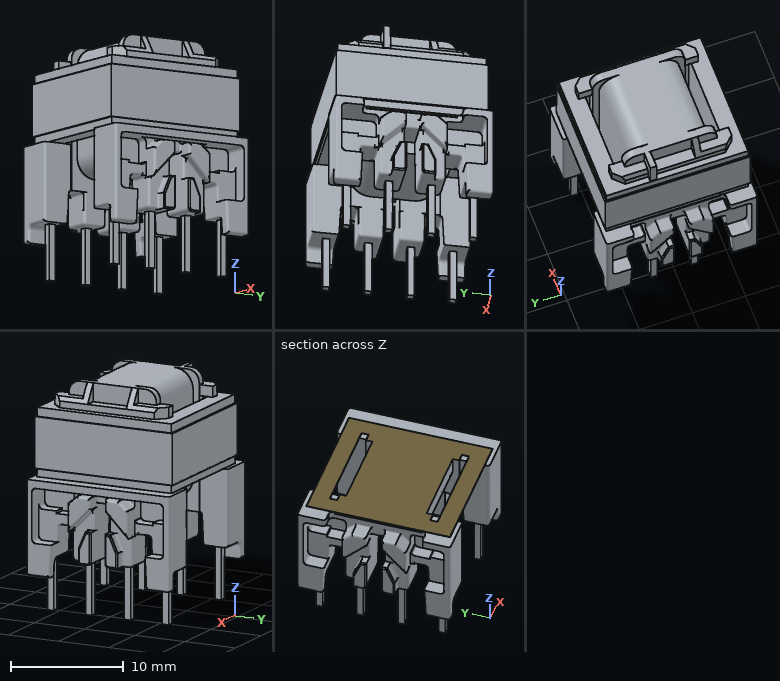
import cadquery as cq


BASE_X = 14.91 / 2
BASE_Y = 14.25 / 2
BASE_TOP = 8.76
CORNER_INNER_X = 3.88
STEP_X = 6.45
STEP_Z = 1.58
LEG_TOP_Y = 4.49
LEG_ARCH_Y = 4.56
LEG_FOOT_Y = 4.79
EDGE_RADIUS = 0.25
STEP_RADIUS = 0.4
WEB_X = 6.1
WEB_BOTTOM = 4.6
WEB_TOP_CHAMFER = 0.22
ARCH_RADIUS = 0.3
ARCH_EDGE_RADIUS = 0.2
CORNER_RADIUS = 0.42
GAP_TOP = 7.0
SHELF_BOTTOM = 8.03

POCKET_Y = 6.54
POCKET_BOTTOM = 3.0
POCKET_RADIUS = 0.42
DEEP_POCKET_X = 4.9
DEEP_POCKET_BOTTOM = 5.83
WEB_POCKET_BOTTOM = 5.6
WEB_POCKET_Y = 4.8

BLOCK_INNER_Y = 0.7
BLOCK_OUTER_Y = 2.99
BLOCK_X = 6.53
BLOCK_TOP = 7.78
BLOCK_SHOULDER_Y = 2.05
BLOCK_SHOULDER_Z = 7.0
CHANNEL_INNER_Z = 6.7
RIDGE_TOP = 4.6
RIDGE_TOP_Y = 1.25
RIDGE_KNEE_Y = 1.95
RIDGE_KNEE_Z = 3.0
BLOCK_CORNER_RADIUS = 0.35
BLOCK_FOOT_RADIUS = 0.17
BLOCK_FOOT_MARGIN = 0.35
CHANNEL_RADIUS = 0.2

PIN_SIZE = 0.64
PIN_X = 5.1
PIN_YS = (-5.71, -1.92, 1.92, 5.71)
TOTAL_HEIGHT = 21.01
PIN_TIP = -3.5
PIN_EMBED = 4.0

CORE_X = 6.155
CORE_Y = 6.69
CORE_TOP = 15.1
CORE_WINDOW_X = 4.53
CORE_WINDOW_Y = 4.99
TAPE_THICKNESS = 0.16
TAPE_BOTTOM = 9.52
TAPE_TOP = 14.27

TOP_Z = PIN_TIP + TOTAL_HEIGHT
FLANGE_INNER_X = 3.74
FLANGE_OUTER_X = 4.53
FLANGE_Y = 4.35
FLANGE_RADIUS = 1.07
WINDING_Y = 3.76
WINDING_BOTTOM = 5.8
WINDING_RADIUS = 1.83
COLLAR_X = 5.64
COLLAR_Y = 5.65
COLLAR_CORNER = 0.94
COLLAR_BOTTOM = 15.17
COLLAR_TOP = 16.18
COLLAR_EDGE_TOP = 15.78
RIB_INNER_Y = 1.92
RIB_OUTER_Y = 2.53
TAB_X = 6.12
TAB_RADIUS = 0.15

MARGIN = 0.01


def box(x0, x1, y0, y1, z0, z1):
    return cq.Workplane("XY").box(x1 - x0, y1 - y0, z1 - z0, centered=False).translate((x0, y0, z0))


def yz_prism(points, x0, x1):
    return cq.Workplane("YZ").polyline(points).close().extrude(x1 - x0).translate((x0, 0, 0))


def near_plane(x, y0, y1, z0, z1):
    """Selects edges in the plane at -x whose centres lie within the given Y and Z ranges."""
    return cq.selectors.BoxSelector(
        (-x - MARGIN, y0 - MARGIN, z0 - MARGIN),
        (-x + MARGIN, y1 + MARGIN, z1 + MARGIN),
    )


def mirror_y(solid):
    return solid.union(solid.mirror("XZ"))


def corner_leg():
    """Corner leg at -X, +Y, with its foot, step and wire pocket."""
    outline = [
        (BASE_Y, 0),
        (BASE_Y, BASE_TOP),
        (LEG_TOP_Y, BASE_TOP),
        (LEG_ARCH_Y, WEB_BOTTOM),
        (LEG_FOOT_Y, 0),
    ]
    leg = yz_prism(outline, -BASE_X, -CORNER_INNER_X)
    step = box(-STEP_X, 0, 0, BASE_Y, 0, STEP_Z).edges("<X and >Z").fillet(STEP_RADIUS)
    leg = leg.cut(step)
    leg = leg.faces("<X or >Y").edges("not >Z").fillet(EDGE_RADIUS)
    step_edges = cq.selectors.BoxSelector(
        (-STEP_X - MARGIN, LEG_ARCH_Y, EDGE_RADIUS),
        (-CORNER_INNER_X - EDGE_RADIUS, LEG_FOOT_Y, STEP_Z + MARGIN),
    )
    leg = leg.edges(step_edges).fillet(ARCH_EDGE_RADIUS)
    pocket = box(-BASE_X, -WEB_X, 0, POCKET_Y, POCKET_BOTTOM, SHELF_BOTTOM)
    leg = leg.cut(pocket.edges("|X and >Y").fillet(POCKET_RADIUS))
    open_edge = near_plane(WEB_X, LEG_TOP_Y, LEG_FOOT_Y, POCKET_BOTTOM, SHELF_BOTTOM)
    return leg.edges(open_edge).fillet(ARCH_EDGE_RADIUS)


def arch():
    """Tapered opening between a corner leg and its pin block."""
    outline = [
        (BLOCK_OUTER_Y, 0),
        (BLOCK_OUTER_Y, WEB_BOTTOM),
        (LEG_ARCH_Y, WEB_BOTTOM),
        (LEG_FOOT_Y, 0),
    ]
    return yz_prism(outline, -BASE_X, -FLANGE_INNER_X).edges("|X and >Z").fillet(ARCH_RADIUS)


def web():
    """Wall that joins the legs, arched over the pins."""
    wall = box(-WEB_X, -CORNER_INNER_X, -WEB_POCKET_Y, WEB_POCKET_Y, POCKET_BOTTOM, BASE_TOP)
    wall = wall.edges("<X and >Z").chamfer(WEB_TOP_CHAMFER).cut(mirror_y(arch()))
    for side in (-1, 1):
        around_arch = cq.selectors.BoxSelector(
            (-WEB_X - EDGE_RADIUS, side * (BLOCK_OUTER_Y - EDGE_RADIUS), POCKET_BOTTOM + EDGE_RADIUS),
            (-WEB_X + EDGE_RADIUS, side * (WEB_POCKET_Y - EDGE_RADIUS / 2), WEB_BOTTOM + EDGE_RADIUS),
        )
        wall = wall.faces("<X").edges(around_arch).fillet(ARCH_EDGE_RADIUS)
    return wall


def inside_corner():
    """Concave rounding between the top of the leg and the web."""
    x0 = -WEB_X - CORNER_RADIUS
    y0 = LEG_TOP_Y - CORNER_RADIUS
    corner = box(x0, -CORNER_INNER_X, y0, LEG_ARCH_Y, SHELF_BOTTOM, BASE_TOP)
    round_tool = cq.Workplane("XY").circle(CORNER_RADIUS).extrude(BASE_TOP).translate((x0, y0, 0))
    return corner.cut(round_tool)


def deep_pocket():
    """Rounded pocket that runs from the leg into the web."""
    over_leg = box(-WEB_X, -DEEP_POCKET_X, BLOCK_OUTER_Y, POCKET_Y, DEEP_POCKET_BOTTOM, SHELF_BOTTOM)
    over_web = box(-WEB_X, -DEEP_POCKET_X, BLOCK_OUTER_Y, WEB_POCKET_Y, WEB_POCKET_BOTTOM, SHELF_BOTTOM)
    over_leg = over_leg.edges("|X and >Y").fillet(POCKET_RADIUS)
    over_leg = over_leg.edges("|X and <Y and >Z").fillet(POCKET_RADIUS)
    over_web = over_web.edges("|X and <Y").fillet(POCKET_RADIUS)
    return over_leg.union(over_web)


def pin_block():
    """Pin block at +Y: a body, a bevelled head above the wire channel and a ridge below it."""
    body = box(-BLOCK_X, -FLANGE_INNER_X, BLOCK_INNER_Y, BLOCK_OUTER_Y, STEP_Z, WEB_BOTTOM)
    body = body.edges("|X and <Z").fillet(BLOCK_CORNER_RADIUS)
    body = body.faces("<X or >X").edges("not >Z").fillet(EDGE_RADIUS)
    channel_outer_z = CHANNEL_INNER_Z - (BLOCK_OUTER_Y - BLOCK_INNER_Y)
    head_outline = [
        (BLOCK_INNER_Y, CHANNEL_INNER_Z),
        (BLOCK_INNER_Y, BLOCK_TOP),
        (BLOCK_SHOULDER_Y, BLOCK_TOP),
        (BLOCK_OUTER_Y, BLOCK_SHOULDER_Z),
        (BLOCK_OUTER_Y, channel_outer_z),
    ]
    head = yz_prism(head_outline, -BASE_X, -CORNER_INNER_X).faces("<X").edges().fillet(EDGE_RADIUS)
    channel_inner_y = BLOCK_INNER_Y + EDGE_RADIUS
    channel_outer_y = BLOCK_OUTER_Y - EDGE_RADIUS
    channel_floor = box(
        -BLOCK_X,
        -CORNER_INNER_X,
        channel_inner_y,
        channel_outer_y,
        RIDGE_TOP - EDGE_RADIUS,
        CHANNEL_INNER_Z,
    )
    head = head.union(channel_floor)
    channel_edge = near_plane(BLOCK_X, RIDGE_TOP_Y, RIDGE_KNEE_Y, RIDGE_TOP, BLOCK_SHOULDER_Z)
    head = head.edges(channel_edge).fillet(CHANNEL_RADIUS)
    back_outline = [
        (BLOCK_INNER_Y, WEB_BOTTOM),
        (BLOCK_INNER_Y, BLOCK_TOP),
        (BLOCK_SHOULDER_Y, BLOCK_TOP),
        (BLOCK_OUTER_Y, BLOCK_SHOULDER_Z),
        (BLOCK_OUTER_Y, WEB_BOTTOM),
    ]
    backing = box(
        -WEB_X,
        -CORNER_INNER_X,
        BLOCK_INNER_Y - BLOCK_FOOT_MARGIN,
        BLOCK_OUTER_Y + BLOCK_FOOT_MARGIN,
        WEB_BOTTOM,
        BLOCK_TOP + BLOCK_FOOT_MARGIN,
    )
    back = yz_prism(back_outline, -BLOCK_X, -CORNER_INNER_X).union(backing)
    flared_edges = near_plane(WEB_X, BLOCK_INNER_Y, channel_outer_y, WEB_POCKET_BOTTOM, BLOCK_TOP)
    back = back.edges(flared_edges).fillet(BLOCK_FOOT_RADIUS)
    back = back.faces("<X").edges("|Z").fillet(EDGE_RADIUS)
    ridge_outline = [
        (BLOCK_INNER_Y, STEP_Z),
        (BLOCK_INNER_Y, RIDGE_TOP),
        (RIDGE_TOP_Y, RIDGE_TOP),
        (RIDGE_KNEE_Y, RIDGE_KNEE_Z),
        (RIDGE_KNEE_Y, STEP_Z),
    ]
    ridge = yz_prism(ridge_outline, -BASE_X, -WEB_X)
    ridge = ridge.edges("|X and <Z and <Y").fillet(BLOCK_CORNER_RADIUS)
    ridge = ridge.faces("<X").edges().chamfer(EDGE_RADIUS / 2)
    block = body.union(back).union(head).union(ridge)
    ridge_edges = near_plane(BLOCK_X, RIDGE_TOP_Y, RIDGE_KNEE_Y, STEP_Z, RIDGE_TOP - EDGE_RADIUS)
    block = block.edges(ridge_edges).fillet(CHANNEL_RADIUS)
    return block.cut(arch())


def flange():
    """Bobbin end plate, from the web up to the rounded top."""
    plate = box(-FLANGE_OUTER_X, -FLANGE_INNER_X, -FLANGE_Y, FLANGE_Y, WEB_BOTTOM, TOP_Z)
    return plate.edges("|X and >Z").fillet(FLANGE_RADIUS)


def collar():
    """Collar over the core with a sloped outer edge and two sloped ribs up to the flange."""
    plate = box(-COLLAR_X, -CORNER_INNER_X, -COLLAR_Y, COLLAR_Y, COLLAR_BOTTOM, COLLAR_TOP)
    plate = plate.edges("|Z and <X").chamfer(COLLAR_CORNER)
    plate = plate.cut(box(-COLLAR_X, -FLANGE_OUTER_X, -RIB_OUTER_Y, RIB_OUTER_Y, COLLAR_EDGE_TOP, TOP_Z))
    rib = box(-COLLAR_X, -FLANGE_OUTER_X, RIB_INNER_Y, RIB_OUTER_Y, COLLAR_BOTTOM, TOP_Z)
    solid = plate.union(mirror_y(rib))
    above_slope = (
        cq.Workplane("XZ")
        .moveTo(-COLLAR_X, COLLAR_EDGE_TOP)
        .lineTo(-FLANGE_OUTER_X, TOP_Z)
        .lineTo(-COLLAR_X, TOP_Z)
        .close()
        .extrude(COLLAR_Y, both=True)
    )
    return solid.cut(above_slope)


def carrier():
    """One complete bobbin end at -X."""
    wall = web().union(mirror_y(pin_block()))
    solid = wall.union(mirror_y(corner_leg().union(inside_corner()))).cut(mirror_y(deep_pocket()))
    solid = solid.union(flange().cut(mirror_y(arch())))
    gap = box(-BLOCK_X, -FLANGE_INNER_X, -BLOCK_INNER_Y, BLOCK_INNER_Y, 0, GAP_TOP)
    solid = solid.cut(gap)
    gap_edge = near_plane(WEB_X, -BLOCK_INNER_Y, BLOCK_INNER_Y, GAP_TOP, GAP_TOP)
    solid = solid.edges(gap_edge).fillet(ARCH_EDGE_RADIUS)
    return solid.union(collar())


def shelf():
    """Shelf that closes the top between the legs on the +X side only."""
    return box(WEB_X, BASE_X, -WEB_POCKET_Y, WEB_POCKET_Y, SHELF_BOTTOM, BASE_TOP)


def core():
    """Core frame around the winding window, with the tape band."""
    frame = box(-CORE_X, CORE_X, -CORE_Y, CORE_Y, BASE_TOP, CORE_TOP)
    tape_x = CORE_X + TAPE_THICKNESS
    tape_y = CORE_Y + TAPE_THICKNESS
    frame = frame.union(box(-tape_x, tape_x, -tape_y, tape_y, TAPE_BOTTOM, TAPE_TOP))
    window = box(-CORE_WINDOW_X, CORE_WINDOW_X, -CORE_WINDOW_Y, CORE_WINDOW_Y, BASE_TOP, CORE_TOP)
    return frame.cut(window)


def winding():
    coil = box(-FLANGE_INNER_X, FLANGE_INNER_X, -WINDING_Y, WINDING_Y, WINDING_BOTTOM, TOP_Z)
    return coil.edges("|X").fillet(WINDING_RADIUS)


def wire_tab():
    """Wire guide tab that stands out past one rib on the -X side."""
    tab = box(-TAB_X, -FLANGE_OUTER_X, RIB_INNER_Y, RIB_OUTER_Y, COLLAR_BOTTOM, TOP_Z)
    return tab.edges("|X and >Z and <Y").fillet(TAB_RADIUS)


def pin(x, y):
    half = PIN_SIZE / 2
    return box(x - half, x + half, y - half, y + half, PIN_TIP, PIN_EMBED)


end = carrier()
result = core().union(winding()).union(end).union(end.mirror("YZ"))
result = result.union(shelf()).union(wire_tab())
for pin_x in (-PIN_X, PIN_X):
    for pin_y in PIN_YS:
        result = result.union(pin(pin_x, pin_y))